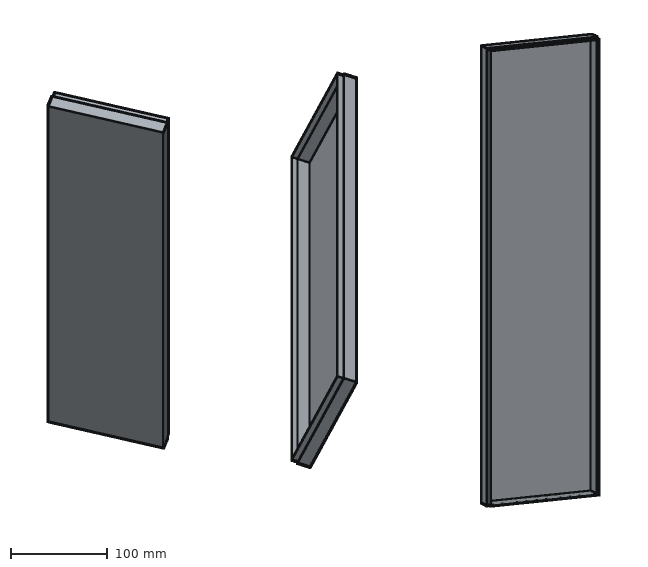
import cadquery as cq

width = 126.0
depth = 22.0
height = 486.0

sheet = 1.0

cover_depth = 15.0
bend_radius = 1.2

inner_width = width - 2 * sheet
inner_height = height - 2 * sheet
inner_depth = depth - sheet


def block(block_width, block_depth, block_height, front_y):
    """Block centred on X and Z, reaching back in +Y from front_y."""
    return cq.Workplane("XY").box(
        block_width, block_depth, block_height, centered=(True, False, True)
    ).translate((0, front_y, 0))


def make_cover():
    """Open-backed tray with rounded front rims and a recess for the inner tray."""
    outside = block(width, cover_depth, height, 0).faces("<Y").edges().fillet(bend_radius)
    recess = block(inner_width, cover_depth - sheet, inner_height, sheet)
    return outside.cut(recess)


def make_inner_tray():
    """Deeper open-backed tray nested in the cover."""
    outside = block(inner_width, inner_depth, inner_height, sheet)
    cavity = block(
        inner_width - 2 * sheet, inner_depth - sheet, inner_height - 2 * sheet, 2 * sheet
    )
    return outside.cut(cavity)


cover = make_cover()
inner_tray = make_inner_tray()

result = cq.Compound.makeCompound([cover.val(), inner_tray.val()])